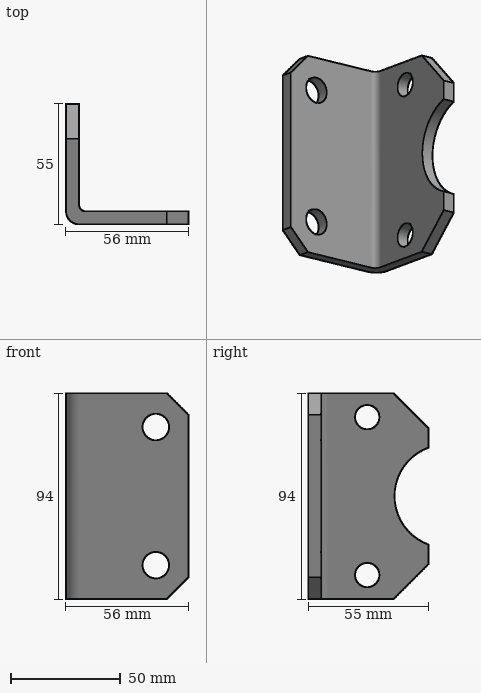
import cadquery as cq

flange_x = 56.0
flange_y = 55.0
height = 94.0
thickness = 6.0
outer_bend_radius = 6.0
inner_bend_radius = 3.0

x_corner_cut = 10.0
x_hole_diameter = 12.0
x_hole_position = 41.0
x_hole_spacing = 63.0

y_corner_cut = 16.0
y_hole_diameter = 11.0
y_hole_position = 27.0
y_hole_spacing = 72.0
notch_radius = 23.5
notch_depth = 15.5


def bent_plate():
    """L-shaped section with a rounded bend, extruded along Z."""
    section = (
        cq.Workplane("XY")
        .polyline([
            (0, 0),
            (flange_x, 0),
            (flange_x, thickness),
            (thickness, thickness),
            (thickness, flange_y),
            (0, flange_y),
        ])
        .close()
    )
    plate = section.extrude(height)
    outer_edge = cq.selectors.NearestToPointSelector((0, 0, height / 2))
    inner_edge = cq.selectors.NearestToPointSelector((thickness, thickness, height / 2))
    plate = plate.edges("|Z").edges(inner_edge).fillet(inner_bend_radius)
    return plate.edges("|Z").edges(outer_edge).fillet(outer_bend_radius)


def cut_flange_corners(body):
    """Cut the top and bottom corners at the free end of each flange at 45 degrees."""
    body = body.faces(">X").edges("|Y").chamfer(x_corner_cut)
    return body.faces(">Y").edges("|X").chamfer(y_corner_cut)


def hole_pair(plane, position, spacing, diameter):
    """Two cylinders through a flange, placed symmetrically about mid-height."""
    mid_height = height / 2
    centres = [(position, mid_height + side * spacing / 2) for side in (-1, 1)]
    return plane.pushPoints(centres).circle(diameter / 2).extrude(thickness)


def edge_notch(plane):
    """Cylinder that leaves a round notch in the free end of the Y flange."""
    notch_centre = flange_y - notch_depth + notch_radius
    return plane.center(notch_centre, height / 2).circle(notch_radius).extrude(thickness)


x_flange_plane = cq.Workplane("XZ", origin=(0, thickness, 0))
y_flange_plane = cq.Workplane("YZ")

result = cut_flange_corners(bent_plate())
result = result.cut(hole_pair(x_flange_plane, x_hole_position, x_hole_spacing, x_hole_diameter))
result = result.cut(hole_pair(y_flange_plane, y_hole_position, y_hole_spacing, y_hole_diameter))
result = result.cut(edge_notch(y_flange_plane))